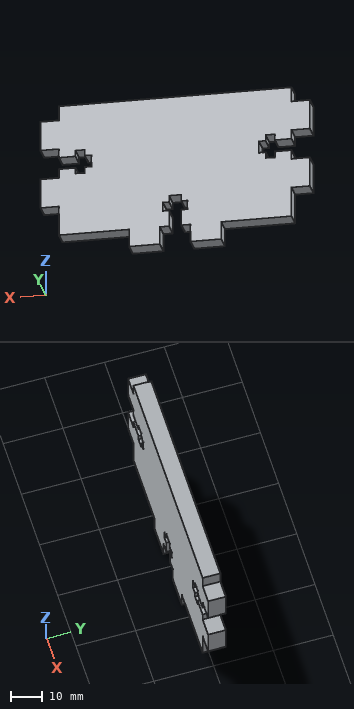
import cadquery as cq

total_width = 88.0
total_height = 51.0
thickness = 6.0

tab_length = thickness
tab_width = 10.0
tab_spacing = 2 * tab_width

slot_width = 4.0
slot_depth = 10.65
nut_width = 8.0
nut_thickness = 3.0
nut_offset = 5.5

plate_width = total_width - 2 * tab_length
plate_height = total_height - tab_length
side_joint_drop = 20.0
side_joint_z = plate_height / 2 - side_joint_drop


def block(size_x, size_z, x, z):
    """Full-thickness block centred at (x, z)."""
    return cq.Workplane("XY").box(size_x, thickness, size_z).translate((x, 0, z))


def place_joint(shape, edge_x, edge_z, angle):
    """Turn a joint about Y and move its origin to the plate edge."""
    return shape.rotate((0, 0, 0), (0, 1, 0), angle).translate((edge_x, 0, edge_z))


def tab_pair():
    """Two tabs pointing down from an edge at z = 0."""
    left = block(tab_width, tab_length, -tab_spacing / 2, -tab_length / 2)
    right = block(tab_width, tab_length, tab_spacing / 2, -tab_length / 2)
    return left.add(right).combine()


def nut_slot():
    """Screw slot with nut pocket, cut upward from an edge at z = 0."""
    screw = block(slot_width, slot_depth, 0, slot_depth / 2)
    nut = block(nut_width, nut_thickness, 0, nut_offset + nut_thickness / 2)
    return screw.union(nut)


joints = [
    (0, -plate_height / 2, 0),
    (-plate_width / 2, side_joint_z, 90),
    (plate_width / 2, side_joint_z, -90),
]

result = block(plate_width, plate_height, 0, 0)
for joint in joints:
    result = result.union(place_joint(tab_pair(), *joint))
    result = result.cut(place_joint(nut_slot(), *joint))